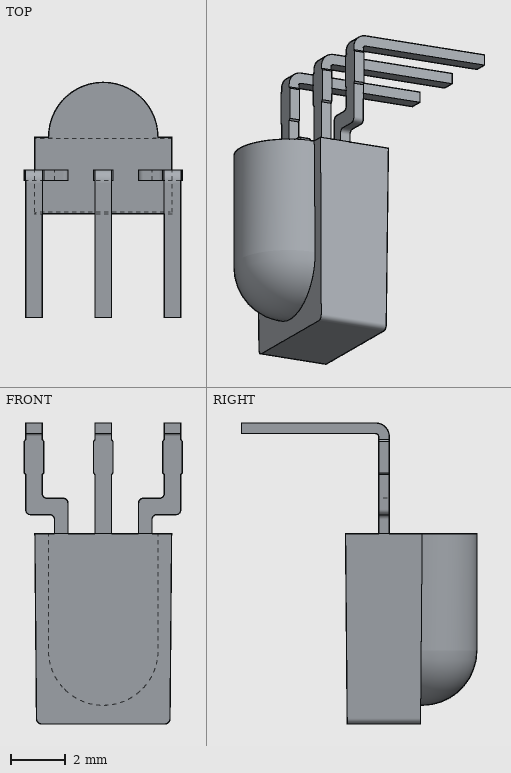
import cadquery as cq
import math


overall_height = 11.0
housing_height = 6.95
housing_width = 5.0
housing_depth = 2.8
draft_angle = 0.5
bottom_edge_radius = 0.2
dome_radius = 2.0
dome_center_z = 2.68

lead_pitch = 2.53
lead_width = 0.6
lead_thickness = 0.4
lead_back_y = -1.2
lead_tip_y = -6.6
bend_inner_radius = 0.1
bend_outer_radius = bend_inner_radius + lead_thickness

wide_width = 0.72
wide_bottom = housing_height + 2.22
wide_top = housing_height + 3.38
shoulder_height = 0.07

leg_width = 0.5
leg_inner_x = 1.29
jog_bottom = housing_height + 0.69
jog_top = jog_bottom + lead_width
jog_radius = 0.18


def make_housing():
    block = (
        cq.Workplane("XY", origin=(0, -housing_depth / 2, housing_height))
        .rect(housing_width, housing_depth)
        .extrude(-housing_height, taper=draft_angle)
        .faces("<Z").edges("|Y").fillet(bottom_edge_radius)
    )
    dome = (
        cq.Workplane("XY", origin=(0, 0, dome_center_z))
        .circle(dome_radius)
        .extrude(housing_height - dome_center_z)
        .union(cq.Workplane("XY", origin=(0, 0, dome_center_z)).sphere(dome_radius))
    )
    return block.union(dome)


def front_plate(points):
    """Extrude an X-Z outline forward over the whole reach of a lead."""
    return (
        cq.Workplane("XZ", origin=(0, lead_back_y, 0))
        .polyline(points).close()
        .extrude(lead_back_y - lead_tip_y)
    )


def widened_stretch(center_x):
    narrow = lead_width / 2
    wide = wide_width / 2
    low_end = wide_bottom - shoulder_height
    high_end = wide_top + shoulder_height
    return front_plate([
        (center_x - narrow, low_end),
        (center_x + narrow, low_end),
        (center_x + wide, wide_bottom),
        (center_x + wide, wide_top),
        (center_x + narrow, high_end),
        (center_x - narrow, high_end),
        (center_x - wide, wide_top),
        (center_x - wide, wide_bottom),
    ])


def bent_strip():
    """L-shaped side profile shared by all leads, wide enough for any of them."""
    front_y = lead_back_y - lead_thickness
    bend_y = lead_back_y - bend_outer_radius
    bend_z = overall_height - bend_outer_radius
    diagonal = math.sqrt(0.5)
    inner_mid = bend_inner_radius * diagonal
    outer_mid = bend_outer_radius * diagonal
    half_reach = lead_pitch + wide_width
    return (
        cq.Workplane("YZ")
        .moveTo(lead_back_y, housing_height)
        .lineTo(lead_back_y, bend_z)
        .threePointArc((bend_y + outer_mid, bend_z + outer_mid), (bend_y, overall_height))
        .lineTo(lead_tip_y, overall_height)
        .lineTo(lead_tip_y, overall_height - lead_thickness)
        .lineTo(bend_y, overall_height - lead_thickness)
        .threePointArc((bend_y + inner_mid, bend_z + inner_mid), (front_y, bend_z))
        .lineTo(front_y, housing_height)
        .close()
        .extrude(half_reach, both=True)
    )


def make_middle_lead():
    half = lead_width / 2
    plate = front_plate([
        (-half, housing_height),
        (half, housing_height),
        (half, overall_height),
        (-half, overall_height),
    ])
    return bent_strip().intersect(plate.union(widened_stretch(0)))


def make_outer_lead(side):
    """Lead on the +X (side = 1) or -X (side = -1) flank, jogged inward to its leg."""
    shaft_inner_x = lead_pitch - lead_width / 2
    shaft_outer_x = lead_pitch + lead_width / 2
    leg_outer_x = leg_inner_x + leg_width
    outline = [
        (leg_inner_x, housing_height),
        (leg_outer_x, housing_height),
        (leg_outer_x, jog_bottom),
        (shaft_outer_x, jog_bottom),
        (shaft_outer_x, overall_height),
        (shaft_inner_x, overall_height),
        (shaft_inner_x, jog_top),
        (leg_inner_x, jog_top),
    ]
    plate = front_plate([(side * x, z) for x, z in outline])
    margin = lead_width / 2
    jog_zone = cq.selectors.BoxSelector(
        (-shaft_outer_x - margin, lead_tip_y, jog_bottom - margin),
        (shaft_outer_x + margin, lead_back_y, jog_top + margin),
    )
    plate = plate.edges("|Y").edges(jog_zone).fillet(jog_radius)
    return bent_strip().intersect(plate.union(widened_stretch(side * lead_pitch)))


housing = make_housing()
middle_lead = make_middle_lead()
outer_leads = [make_outer_lead(side) for side in (-1, 1)]

result = cq.Compound.makeCompound([
    housing.solids().val(),
    middle_lead.solids().val(),
    *[lead.solids().val() for lead in outer_leads],
])